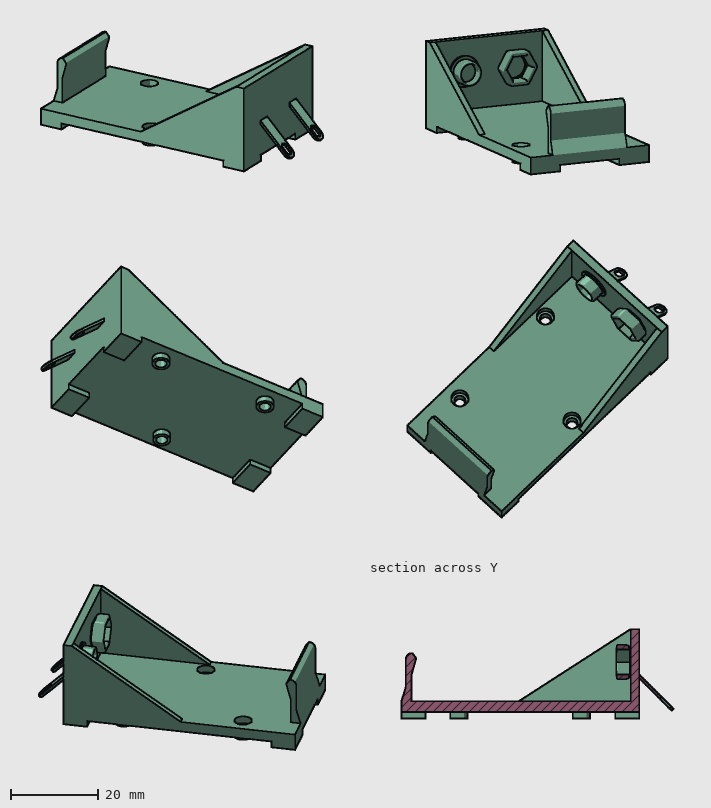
import cadquery as cq
import math

base_length = 54.5
width = 30.2
total_height = 20.5
foot_height = 1.5
base_thickness = 2.5
base_top = foot_height + base_thickness
wall_thickness = 2.0
wall_inner_x = base_length - wall_thickness
gusset_thickness = 1.5
gusset_start_x = 26.9
foot_length = 5.55
foot_width = 7.55

screw_hole_diameter = 2.6
counterbore_diameter = 4.0
counterbore_depth = 1.75
screw_pitch = 14.0
screw_edge_offset = 4.0
middle_screw_x = 27.2
screw_places = [
    (middle_screw_x - screw_pitch, width - screw_edge_offset),
    (middle_screw_x, screw_edge_offset),
    (middle_screw_x + screw_pitch, width - screw_edge_offset),
]

clip_width = 18.95
clip_back_x = 1.0
clip_front_x = 2.4
clip_slope_top_z = 7.25
clip_bulge_start_z = 10.1
clip_nose_x = 3.4
clip_nose_z = 13.85
clip_nose_fillet = 0.5
clip_crest_x = 2.5
clip_top_z = 15.0
clip_crest_radius = clip_crest_x - clip_back_x

contact_spacing = 12.7
contact_z = 13.0
contact_height = 3.25
stud_y = width / 2 + contact_spacing / 2
socket_y = width / 2 - contact_spacing / 2

stud_flange_diameter = 7.3
stud_flange_thickness = 0.45
stud_diameter = 5.8
stud_bore_diameter = 4.5
stud_bore_depth = 2.0
stud_rim_fillet = 0.3
stud_bore_fillet = 0.2

socket_across_flats = 8.0
socket_wall = 1.2
socket_land = 0.2
socket_recess_depth = 3.05
socket_hole_diameter = 5.5
socket_corner_fillet = 1.0
socket_back_fillet = 1.0
socket_rim_fillet = 0.4

lug_angle = 45
lug_width = 3.0
lug_thickness = 0.6
lug_tip_x = 62.35
lug_tip_z = 2.25
lug_slot_length = 3.2
lug_slot_width = 1.75
lug_slot_margin = 0.75


def box(x0, y0, z0, length, depth, height):
    return cq.Workplane("XY").box(length, depth, height, centered=False).translate((x0, y0, z0))


def make_base():
    base = box(0, 0, foot_height, base_length, width, base_thickness)
    for x in (0, base_length - foot_length):
        for y in (0, width - foot_width):
            base = base.union(box(x, y, 0, foot_length, foot_width, foot_height))
    return base


def make_end_wall():
    height = total_height - base_top
    return box(wall_inner_x, 0, base_top, wall_thickness, width, height)


def make_gusset(y_start):
    return (
        cq.Workplane("XZ", origin=(0, y_start, 0))
        .moveTo(gusset_start_x, base_top)
        .lineTo(wall_inner_x, base_top)
        .lineTo(wall_inner_x, total_height)
        .close()
        .extrude(-gusset_thickness)
    )


def make_clip():
    arc_shift = clip_crest_radius * math.sqrt(0.5)
    crest_center_z = clip_top_z - clip_crest_radius
    clip = (
        cq.Workplane("XZ", origin=(0, (width - clip_width) / 2, 0))
        .moveTo(0, base_top)
        .lineTo(clip_back_x, clip_slope_top_z)
        .lineTo(clip_back_x, crest_center_z)
        .threePointArc(
            (clip_crest_x - arc_shift, crest_center_z + arc_shift),
            (clip_crest_x, clip_top_z),
        )
        .lineTo(clip_nose_x, clip_nose_z)
        .lineTo(clip_front_x, clip_bulge_start_z)
        .lineTo(clip_front_x, base_top)
        .close()
        .extrude(-clip_width)
    )
    return clip.edges("|Y and >X").fillet(clip_nose_fillet)


def add_screw_holes(body):
    bosses = cq.Workplane("XY").pushPoints(screw_places).circle(counterbore_diameter / 2).extrude(foot_height)
    holes = cq.Workplane("XY").pushPoints(screw_places).circle(screw_hole_diameter / 2).extrude(base_top)
    counterbores = (
        cq.Workplane("XY", origin=(0, 0, base_top))
        .pushPoints(screw_places)
        .circle(counterbore_diameter / 2)
        .extrude(-counterbore_depth)
    )
    return body.union(bosses).cut(holes).cut(counterbores)


def make_housing():
    body = make_base().union(make_end_wall()).union(make_clip())
    for y_start in (0, width - gusset_thickness):
        body = body.union(make_gusset(y_start))
    return add_screw_holes(body)


def contact_plane(y, distance_from_wall):
    """Workplane facing -X, centred on a contact, at a distance from the end wall."""
    origin = (wall_inner_x - distance_from_wall, y, contact_z)
    return cq.Workplane(cq.Plane(origin=origin, xDir=(0, 1, 0), normal=(-1, 0, 0)))


def make_stud():
    barrel = contact_plane(stud_y, 0).circle(stud_diameter / 2).extrude(contact_height)
    barrel = barrel.faces("<X").edges().fillet(stud_rim_fillet)
    flange = contact_plane(stud_y, 0).circle(stud_flange_diameter / 2).extrude(stud_flange_thickness)
    bore = contact_plane(stud_y, contact_height).circle(stud_bore_diameter / 2).extrude(-stud_bore_depth)
    stud = barrel.union(flange).cut(bore)
    rim_edge = stud.faces("<X").edges(cq.selectors.RadiusNthSelector(0))
    return rim_edge.fillet(stud_bore_fillet)


def make_socket():
    across_corners = socket_across_flats / math.cos(math.pi / 6)
    recess_across_corners = (socket_across_flats - 2 * socket_wall) / math.cos(math.pi / 6)
    hexagon = contact_plane(socket_y, socket_land).polygon(6, across_corners)
    hexagon = hexagon.extrude(contact_height - socket_land)
    hexagon = hexagon.edges("|X").fillet(socket_corner_fillet)
    hexagon = hexagon.faces(">X").edges().fillet(socket_back_fillet)
    land = hexagon.faces(">X").wires().toPending().workplane().extrude(socket_land, combine=False)
    recess = (
        contact_plane(socket_y, contact_height)
        .polygon(6, recess_across_corners)
        .extrude(-socket_recess_depth)
    )
    socket = hexagon.union(land).cut(recess).faces("<X").edges().fillet(socket_rim_fillet)
    hole = contact_plane(socket_y, 0).circle(socket_hole_diameter / 2).extrude(contact_height)
    return socket.cut(hole)


def make_lug(y):
    """Round-ended strap sloping down from the end wall, with a slot near its tip."""
    slope = math.radians(lug_angle)
    down_slope = (math.cos(slope), 0, -math.sin(slope))
    outward = (math.sin(slope), 0, math.cos(slope))
    upper_face = cq.Plane(origin=(lug_tip_x, y, lug_tip_z), xDir=down_slope, normal=outward)
    radius = lug_width / 2
    inner_end = (lug_tip_x - base_length) / math.cos(slope) + lug_thickness
    strap = (
        cq.Workplane(upper_face)
        .moveTo(-inner_end, -radius)
        .lineTo(-radius, -radius)
        .threePointArc((0, 0), (-radius, radius))
        .lineTo(-inner_end, radius)
        .close()
        .extrude(-lug_thickness)
    )
    slot = (
        cq.Workplane(upper_face)
        .center(-lug_slot_margin - lug_slot_length / 2, 0)
        .slot2D(lug_slot_length, lug_slot_width)
        .extrude(-lug_thickness)
    )
    wall_space = box(wall_inner_x, 0, 0, wall_thickness, width, total_height)
    return strap.cut(slot).cut(wall_space)


housing = make_housing()
stud = make_stud()
socket = make_socket()
lugs = [make_lug(y).val() for y in (stud_y, socket_y)]

result = cq.Compound.makeCompound([housing.val(), stud.val(), socket.val(), *lugs])